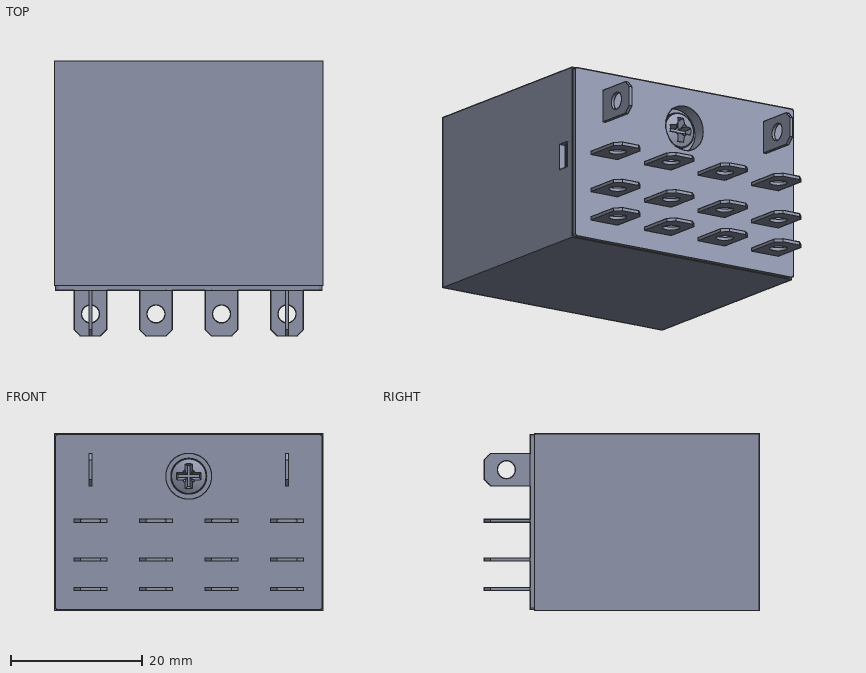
import cadquery as cq
import math


width = 41.0
height = 27.0
total_length = 42.0
terminal_length = 7.0
plate_thickness = 0.7
plate_inset = 0.15
plate_corner_radius = 0.35
body_length = total_length - terminal_length

blade_width = 5.0
blade_thickness = 0.5
blade_chamfer = 1.0
blade_hole_diameter = 2.7
blade_hole_from_tip = 3.4
blade_root = 0.5
column_pitch = 10.0
contact_columns = [(i - 1.5) * column_pitch for i in range(4)]
contact_rows = [0.2, -5.7, -10.2]
coil_columns = [contact_columns[0], contact_columns[-1]]
coil_row = 8.0

screw_z = 7.0
recess_diameter = 7.0
recess_depth = 2.2
head_diameter = 5.5
head_edge_depth = 1.45
head_edge_bevel = 0.12
dome_height = 0.6
cross_length = 4.0
cross_arm_width = 1.25
cross_depth = 1.3
cross_taper = 17.0
cross_cone_radius = 1.2
cross_cone_depth = 1.0
cross_cone_taper = 40.0

window_length = 2.05
window_height = 4.0
window_depth = 1.0
window_front = 2.0
latch_clearance = 0.17
latch_flat = 0.45
latch_flat_depth = 0.2


def front_plane(depth, z=0.0):
    """Plane facing -Y, at the given depth behind the base plate face."""
    return cq.Workplane("XZ", origin=(0, depth, z))


def make_housing():
    cover = front_plane(body_length).rect(width, height).extrude(body_length - plate_thickness)
    plate = (
        front_plane(plate_thickness)
        .rect(width - 2 * plate_inset, height - 2 * plate_inset)
        .extrude(plate_thickness)
        .edges("|Y")
        .fillet(plate_corner_radius)
    )
    return cover.union(plate)


def make_blade():
    """Flat terminal lying in the XY plane, centred on X = 0 and Z = 0."""
    full_length = terminal_length + blade_root
    return (
        cq.Workplane("XY")
        .center(0, blade_root - full_length / 2)
        .box(blade_width, full_length, blade_thickness)
        .edges("|Z and <Y")
        .chamfer(blade_chamfer)
        .cut(
            cq.Workplane("XY")
            .center(0, blade_hole_from_tip - terminal_length)
            .circle(blade_hole_diameter / 2)
            .extrude(blade_thickness, both=True)
        )
    )


def add_terminals(body):
    blade = make_blade()
    for z in contact_rows:
        for x in contact_columns:
            body = body.union(blade.translate((x, 0, z)))
    upright_blade = blade.rotate((0, 0, 0), (0, 1, 0), 90)
    for x in coil_columns:
        body = body.union(upright_blade.translate((x, 0, coil_row)))
    return body


def make_screw_head():
    """Domed head, turned about the Y axis through the screw centre."""
    radius = head_diameter / 2
    dome_radius = radius - head_edge_bevel
    dome_edge = head_edge_depth - head_edge_bevel
    apex = dome_edge - dome_height
    sphere_radius = (dome_radius**2 + dome_height**2) / (2 * dome_height)
    half_angle = math.asin(dome_radius / sphere_radius) / 2
    dome_middle = (
        sphere_radius * math.sin(half_angle),
        apex + sphere_radius * (1 - math.cos(half_angle)),
    )
    return (
        cq.Workplane("XY")
        .moveTo(0, recess_depth)
        .lineTo(radius, recess_depth)
        .lineTo(radius, head_edge_depth)
        .lineTo(dome_radius, dome_edge)
        .threePointArc(dome_middle, (0, apex))
        .close()
        .revolve(360, (0, 0, 0), (0, 1, 0))
        .translate((0, 0, screw_z))
    )


def make_driver_cross():
    """Tapered cross recess with a cone at its centre, narrowing inward from the dome."""
    start = head_edge_depth - head_edge_bevel - dome_height
    plane = cq.Workplane("ZX", origin=(0, start, screw_z))
    across = plane.rect(cross_length, cross_arm_width).extrude(cross_depth, taper=cross_taper)
    upright = plane.rect(cross_arm_width, cross_length).extrude(cross_depth, taper=cross_taper)
    cone = plane.circle(cross_cone_radius).extrude(cross_cone_depth, taper=cross_cone_taper)
    return across.union(upright).union(cone)


def add_screw(body):
    recess = front_plane(recess_depth, screw_z).circle(recess_diameter / 2).extrude(recess_depth)
    return body.cut(recess).union(make_screw_head()).cut(make_driver_cross())


def add_latch(body):
    """Window in the -X wall, with the ramped latch of the base showing inside it."""
    wall = -width / 2
    floor = wall + window_depth
    window_back = window_front + window_length
    window = cq.Workplane("XY").box(
        window_depth, window_length, window_height, centered=(False, False, True)
    )
    latch_front = window_front + latch_clearance
    latch_back = window_back - latch_clearance
    latch_top = wall + latch_flat_depth
    latch = (
        cq.Workplane("XY")
        .polyline(
            [
                (floor, latch_back),
                (floor, latch_front),
                (latch_top, latch_front),
                (latch_top, latch_front + latch_flat),
            ]
        )
        .close()
        .extrude(window_height / 2 - latch_clearance, both=True)
    )
    return body.cut(window.translate((wall, window_front, 0))).union(latch)


result = add_latch(add_screw(add_terminals(make_housing())))